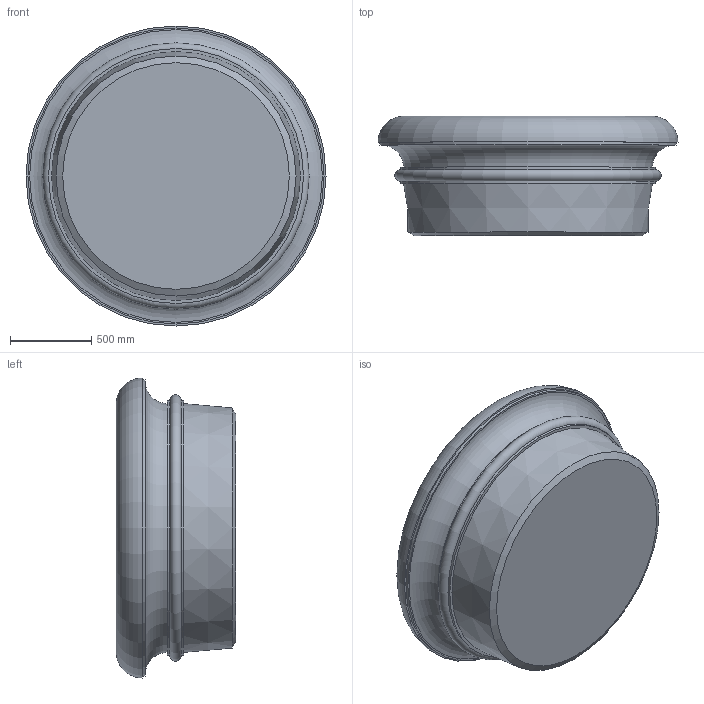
import cadquery as cq
import math

RIM_RADIUS = 925.0
TOTAL_DEPTH = 737.0

RIM_ROUND = 160.0
RIM_STEP = 12.0
RIM_STEP_WIDTH = 18.0

COVE_RADIUS = 136.0
NECK_RADIUS = 767.0

COLLAR_RADIUS = 786.0
COLLAR_LIP = 16.0
BEAD_RADIUS = 35.0

DRUM_RADIUS = 740.0
BEVEL_DEPTH = 22.0
FRONT_FACE_RADIUS = 699.0

ROUND_MIDDLE_ANGLE = 45.0
COVE_MIDDLE_ANGLE = 135.0

rim_front = TOTAL_DEPTH - RIM_ROUND
cove_back = rim_front - RIM_STEP_WIDTH
collar_back = cove_back - COVE_RADIUS
bead_back = collar_back - COLLAR_LIP
bead_center = bead_back - BEAD_RADIUS
bead_front = bead_center - BEAD_RADIUS
collar_front = bead_front - COLLAR_LIP


def point_on_circle(center_radius, center_y, radius, angle):
    """Point on a circle, with the angle in degrees from the outward radial direction."""
    return (
        center_radius + radius * math.cos(math.radians(angle)),
        center_y + radius * math.sin(math.radians(angle)),
    )


def build_profile():
    """Half section in the +Z half of the YZ plane, as (radius, Y) points from front to back."""
    cove_mouth_radius = NECK_RADIUS + COVE_RADIUS
    round_start_radius = RIM_RADIUS - RIM_ROUND
    section_plane = cq.Plane(origin=(0, 0, 0), xDir=(0, 0, 1), normal=(-1, 0, 0))
    return (
        cq.Workplane(section_plane)
        .moveTo(0, 0)
        .lineTo(FRONT_FACE_RADIUS, 0)
        .lineTo(DRUM_RADIUS, BEVEL_DEPTH)
        .lineTo(NECK_RADIUS, collar_front)
        .lineTo(COLLAR_RADIUS, collar_front)
        .lineTo(COLLAR_RADIUS, bead_front)
        .threePointArc((COLLAR_RADIUS + BEAD_RADIUS, bead_center), (COLLAR_RADIUS, bead_back))
        .lineTo(COLLAR_RADIUS, collar_back)
        .lineTo(NECK_RADIUS, collar_back)
        .threePointArc(
            point_on_circle(cove_mouth_radius, collar_back, COVE_RADIUS, COVE_MIDDLE_ANGLE),
            (cove_mouth_radius, cove_back),
        )
        .lineTo(RIM_RADIUS - RIM_STEP, cove_back)
        .lineTo(RIM_RADIUS - RIM_STEP, rim_front)
        .lineTo(RIM_RADIUS, rim_front)
        .threePointArc(
            point_on_circle(round_start_radius, rim_front, RIM_ROUND, ROUND_MIDDLE_ANGLE),
            (round_start_radius, TOTAL_DEPTH),
        )
        .lineTo(0, TOTAL_DEPTH)
        .close()
    )


result = build_profile().revolve(axisStart=(0, 0, 0), axisEnd=(0, 1, 0))